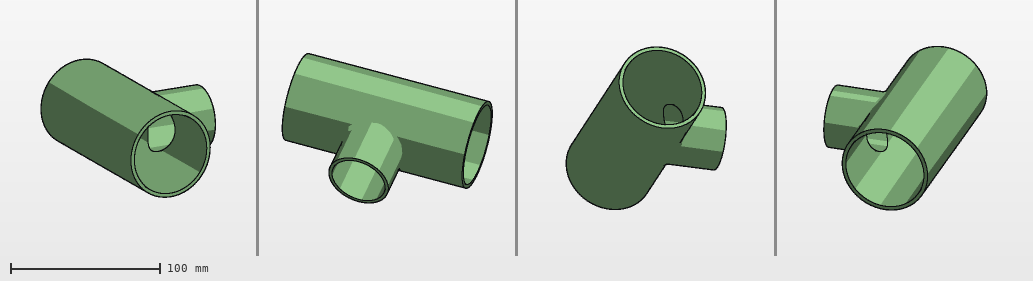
import cadquery as cq

run_length = 128.0
run_outer_diameter = 60.3
run_bore_diameter = 55.0

branch_outer_diameter = 42.4
branch_bore_diameter = 37.8
overall_depth = 87.2
branch_reach = overall_depth - run_outer_diameter / 2

seam_fillet_radius = 3.1


def run_cylinder(diameter):
    """Full-length cylinder along X."""
    return cq.Workplane("YZ").circle(diameter / 2).extrude(run_length / 2, both=True)


def branch_cylinder(diameter):
    """Cylinder from the run axis to the branch end, along +Y."""
    return cq.Workplane("XZ").circle(diameter / 2).extrude(-branch_reach)


def filleted_tee():
    """Solid outer shape with the seam rounded."""
    tee = run_cylinder(run_outer_diameter).union(branch_cylinder(branch_outer_diameter))
    seam = tee.edges("not(%CIRCLE or %LINE)")
    return seam.fillet(seam_fillet_radius)


bores = run_cylinder(run_bore_diameter).union(branch_cylinder(branch_bore_diameter))
result = filleted_tee().cut(bores)